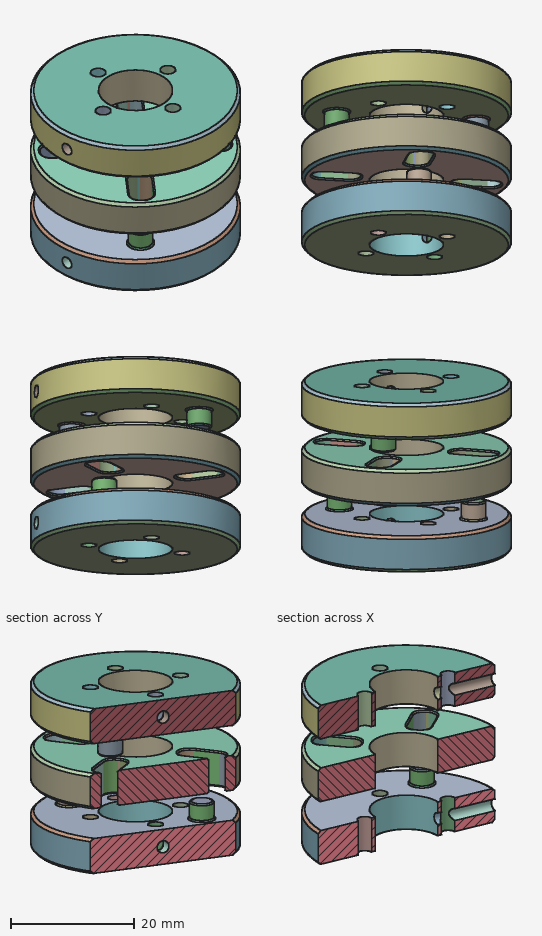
import cadquery as cq

disc_diameter = 34.0
disc_thickness = 6.0
disc_gap = 5.0
disc_chamfer = 0.5
bore_diameter = 12.0
disc_pitch = disc_thickness + disc_gap
stack_height = 2 * disc_pitch + disc_thickness

pin_diameter = 4.0
pin_length = 3.0
pin_chamfer = 0.25
pin_circle_radius = 11.5
hub_pin_angles = (135, 315)

screw_hole_count = 4
screw_hole_diameter = 2.5
screw_circle_radius = 8.0
set_screw_diameter = 2.0

slot_width = pin_diameter
slot_length = 8.0
slot_corner_radius = 1.8
slot_chamfer = 0.25
slot_angles = (45, 135, 225, 315)


def make_disc():
    """Bored disc with chamfered outer rims, standing on the XY plane."""
    blank = cq.Workplane("XY").circle(disc_diameter / 2).extrude(disc_thickness)
    blank = blank.faces("|Z").edges().chamfer(disc_chamfer)
    bore = cq.Workplane("XY").circle(bore_diameter / 2).extrude(disc_thickness)
    return blank.cut(bore)


def make_pin(angle):
    """Pin on the disc's top face: 45 degree flare at the root, chamfer at the tip."""
    radius = pin_diameter / 2
    half_section = (
        cq.Workplane("XZ")
        .lineTo(radius + pin_chamfer, 0)
        .lineTo(radius, pin_chamfer)
        .lineTo(radius, pin_length - pin_chamfer)
        .lineTo(radius - pin_chamfer, pin_length)
        .lineTo(0, pin_length)
        .close()
    )
    pin = half_section.revolve(360, (0, 0, 0), (0, 1, 0))
    return pin.translate((pin_circle_radius, 0, disc_thickness)).rotate((0, 0, 0), (0, 0, 1), angle)


def make_hub():
    """Disc with screw holes, a radial set screw hole toward -Y and two pins on top."""
    body = make_disc()
    screw_holes = (
        cq.Workplane("XY")
        .polarArray(screw_circle_radius, 0, 360, screw_hole_count)
        .circle(screw_hole_diameter / 2)
        .extrude(disc_thickness)
    )
    set_screw_hole = (
        cq.Workplane("XZ", origin=(0, 0, disc_thickness / 2))
        .circle(set_screw_diameter / 2)
        .extrude(disc_diameter / 2)
    )
    body = body.cut(screw_holes).cut(set_screw_hole)
    for angle in hub_pin_angles:
        body = body.union(make_pin(angle))
    return body


def make_slot_cutter(angle):
    """Rounded radial slot through the disc, chamfered at both mouths."""
    slot = (
        cq.Workplane("XY")
        .rect(slot_length, slot_width)
        .extrude(disc_thickness)
        .edges("|Z")
        .fillet(slot_corner_radius)
    )
    mouth = (
        cq.Workplane("XY")
        .sketch()
        .rect(slot_length + 2 * slot_chamfer, slot_width + 2 * slot_chamfer)
        .vertices()
        .fillet(slot_corner_radius + slot_chamfer)
        .finalize()
        .extrude(slot_chamfer, taper=45)
    )
    top_mouth = mouth.mirror("XY").translate((0, 0, disc_thickness))
    cutter = slot.union(mouth).union(top_mouth)
    return cutter.translate((pin_circle_radius, 0, 0)).rotate((0, 0, 0), (0, 0, 1), angle)


def make_center_disc():
    """Floating disc whose slots take the pins of both hubs."""
    body = make_disc()
    for angle in slot_angles:
        body = body.cut(make_slot_cutter(angle))
    return body.translate((0, 0, disc_pitch))


lower_hub = make_hub()
center_disc = make_center_disc()
upper_hub = make_hub().rotate((0, 0, 0), (0, 1, 0), 180).translate((0, 0, stack_height))

bodies = (lower_hub, center_disc, upper_hub)
result = cq.Compound.makeCompound([body.solids().val() for body in bodies])